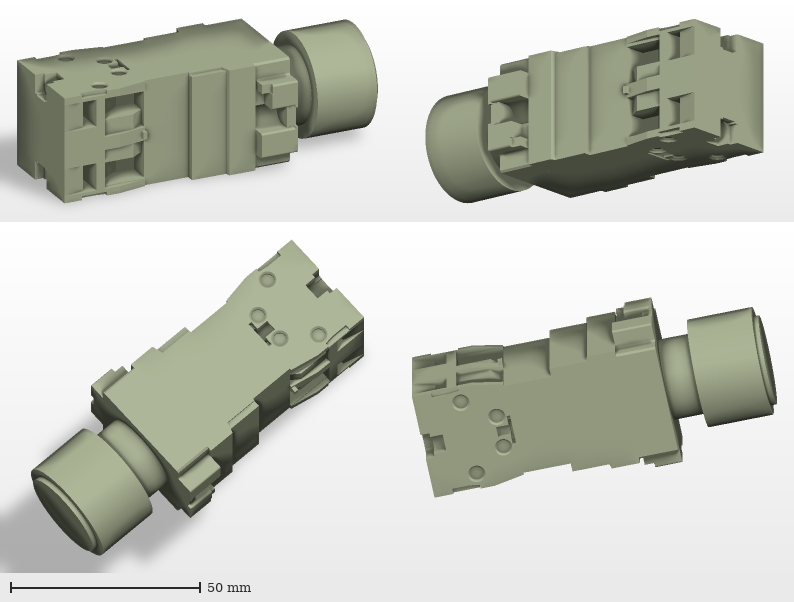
import cadquery as cq

contact_rear = 24.3
stem_rear = 37.2
shoulder_outer = 47.5
shoulder_inner = 46.7
base_rear = 55.15
collar_rear = 65.75
neck_rear = 74.2
bezel_rear = 91.6
button_rear = 93.0

height = 30.0
half_height = height / 2

button_diameter = 24.0
bezel_diameter = 29.0
neck_diameter = 21.6

collar_half_width = half_height
edge_size = 0.6
arm_reach = 20.0
arm_half_height = 10.2
groove_half_height = 3.2
groove_axis_x = 15.7
groove_rear = 63.1
lip_front = 65.0
lip_gap_half_height = 2.7
web_reach = 18.9
lug_front = 55.9
lug_reach = 18.6
lug_inner_z = 7.7
short_arm_front = 58.2
lug_relief = 0.3

base_half_width = 16.1
flange_half_width = 14.8
flange_step_x = 13.0
flange_step_depth = 0.6
stem_half_width = 12.5

contact_half_width = 14.5
frame_inner_x = 13.0
taper_front = 16.2
tab_length = 1.1
tab_height = 1.0
bay_front = 11.9
bay_floor_z = 1.9
bay_shelf_z = 6.1
bay_ceiling_z = 12.2
floor_recess_z = 12.7
window_top_z = 13.0
shelf_corner_y = 20.8
bay_corner_y = 19.0
bay_slope = 0.7
bay_wall_front_x = 11.2
bay_inner_x = bay_wall_front_x - bay_slope * (bay_corner_y - bay_front)
through_front = 6.0
through_rear = 9.4
through_floor_z = 5.2
notch_front = 5.1
notch_rear = 12.5
notch_corner_y = 9.8
notch_rear_x = 13.4
notch_depth = 1.1
dimple_places = [(-10.2, 12.3), (10.2, 12.3), (-4.4, 20.7), (4.4, 20.7)]
dimple_mouth_radius = 2.3
dimple_floor_radius = 1.9
dimple_cone_depth = 0.6
dimple_depth = 1.0
screw_z = 12.6
screw_radius = 1.6
head_slot_width = 4.9
head_slot_radius = head_slot_width / 2
head_slot_floor_z = 9.4
head_slot_rear = 5.8
mouth_half_width = 3.5
mouth_floor_z = 9.9
mouth_rear = 2.4
screw_slot_front = 20.0
rear_pocket_front = 23.3
rear_pocket_half_width = 4.1
rear_pocket_depth = 1.8


def box(x_range, y_range, z_range):
    """Box between the given pairs of limits."""
    sizes = [high - low for low, high in (x_range, y_range, z_range)]
    return cq.Workplane("XY").box(*sizes, centered=False).translate((x_range[0], y_range[0], z_range[0]))


def section_prism(points, y_front, y_rear):
    """Prism along Y with an outline of (x, z) points."""
    return cq.Workplane("XZ", origin=(0, y_front, 0)).polyline(points).close().extrude(y_front - y_rear)


def plan_prism(points, z_low, z_high):
    """Upright prism with an outline of (x, y) points."""
    return cq.Workplane("XY", origin=(0, 0, z_low)).polyline(points).close().extrude(z_high - z_low)


def cylinder(radius, y_front, y_rear, x=0, z=0):
    """Cylinder along Y."""
    return cq.Workplane("XZ", origin=(x, y_front, z)).circle(radius).extrude(y_front - y_rear)


def mirrored_x(points):
    """Outline completed by its mirror image across X = 0."""
    return points + [(-x, other) for x, other in reversed(points)]


def make_button_head():
    """Stepped round head: neck, bezel and button face."""
    neck = cylinder(neck_diameter / 2, collar_rear, neck_rear)
    bezel = cylinder(bezel_diameter / 2, neck_rear, bezel_rear)
    return neck.union(bezel).union(cylinder(button_diameter / 2, bezel_rear, button_rear))


def make_root_fillet(side):
    """Concave strip where the upper (side 1) or lower (side -1) arm meets the collar block."""
    root_z = side * arm_half_height
    corner = (-collar_half_width - edge_size, side * (arm_half_height + edge_size))
    strip = section_prism(
        [(0, root_z), (corner[0], root_z), corner, (0, corner[1])], base_rear, collar_rear
    )
    return strip.cut(cylinder(edge_size, base_rear, collar_rear, *corner))


def make_collar_arms():
    """Pair of arms on the -X side, joined by a web and separated by a round-bottomed groove."""
    span = (-arm_half_height, arm_half_height)
    arms = box((-arm_reach, 0), (base_rear, collar_rear), span).edges("|Y and <X").fillet(edge_size)
    for side in (-1, 1):
        arms = arms.union(make_root_fillet(side))
    below = (-half_height, 0)
    outside = (-arm_reach, -collar_half_width)
    arms = arms.cut(box(outside, (base_rear, lug_front), below))
    arms = arms.cut(box(outside, (base_rear, short_arm_front), (-lug_inner_z, 0)))
    return arms.cut(
        box((-arm_reach, -lug_reach), (base_rear, short_arm_front + lug_relief), (-half_height, -lug_inner_z))
    )


def make_groove_cutter():
    """Space between the two arms of the -X side, with the web left standing at the rear."""
    gap = (-groove_half_height, groove_half_height)
    lip_gap = (-lip_gap_half_height, lip_gap_half_height)
    cutter = box((-arm_reach, -groove_axis_x), (base_rear, groove_rear), gap)
    cutter = cutter.union(cylinder(groove_half_height, base_rear, groove_rear, x=-groove_axis_x))
    cutter = cutter.union(box((-arm_reach, -web_reach), (lip_front, collar_rear), lip_gap))
    flare_x = -arm_reach + edge_size
    flare_half_height = groove_half_height + edge_size
    flare = box((-arm_reach, flare_x), (base_rear, lip_front), (-flare_half_height, flare_half_height))
    for side in (-1, 1):
        flare = flare.cut(cylinder(edge_size, base_rear, lip_front, flare_x, side * flare_half_height))
    slot = box((-arm_reach, -web_reach), (base_rear, lip_front), gap)
    return cutter.union(slot).union(flare)


def make_collar():
    """Square block whose two sides are alike under a half turn about Y."""
    square = (-collar_half_width, collar_half_width)
    collar = box(square, (base_rear, collar_rear), (-half_height, half_height))
    collar = collar.edges("|Y").chamfer(edge_size)
    arms = make_collar_arms()
    groove = make_groove_cutter()
    for turn in (0, 180):
        collar = collar.union(arms.rotate((0, 0, 0), (0, 1, 0), turn))
    for turn in (0, 180):
        collar = collar.cut(groove.rotate((0, 0, 0), (0, 1, 0), turn))
    return collar


def make_base():
    """Wide head and narrower waist, which is flanged along its top edges."""
    slope = (shoulder_outer - shoulder_inner) / (base_half_width - flange_step_x)
    flange_rear = shoulder_inner + slope * (flange_half_width - flange_step_x)
    outline = mirrored_x([
        (flange_half_width, stem_rear),
        (flange_half_width, flange_rear),
        (base_half_width, shoulder_outer),
        (base_half_width, base_rear),
    ])
    base = plan_prism(outline, -half_height, half_height)
    for side in (-1, 1):
        step = [
            (side * flange_step_x, stem_rear),
            (side * flange_half_width, stem_rear),
            (side * flange_half_width, flange_rear),
            (side * flange_step_x, shoulder_inner),
        ]
        base = base.cut(plan_prism(step, half_height - flange_step_depth, half_height))
    return base


def make_stem():
    """Plain rectangular stem between the base and the contact blocks."""
    width_range = (-stem_half_width, stem_half_width)
    return box(width_range, (contact_rear, stem_rear), (-half_height, half_height))


def make_terminal_bay(side):
    """Stepped bay in one side wall, open to the rear, with a slanted face on each level."""
    shelf_inner_x = frame_inner_x - bay_slope * (contact_rear - shelf_corner_y)
    lower_level = [
        (side * frame_inner_x, shelf_corner_y),
        (side * frame_inner_x, contact_rear),
        (side * shelf_inner_x, contact_rear),
    ]
    upper_level = [
        (side * frame_inner_x, bay_front),
        (side * frame_inner_x, contact_rear),
        (side * bay_inner_x, contact_rear),
        (side * bay_inner_x, bay_corner_y),
        (side * bay_wall_front_x, bay_front),
    ]
    opening = sorted((side * frame_inner_x, side * contact_half_width))
    bay = box(opening, (bay_front, contact_rear), (bay_floor_z, window_top_z))
    bay = bay.union(plan_prism(lower_level, bay_floor_z, bay_shelf_z))
    return bay.union(plan_prism(upper_level, bay_shelf_z, bay_ceiling_z))


def make_through_window():
    """Window through both side walls whose front faces slope out to the front corners."""
    outline = mirrored_x([
        (frame_inner_x, through_front),
        (contact_half_width, 0),
        (contact_half_width, through_rear),
    ])
    return plan_prism(outline, through_floor_z, window_top_z)


def make_edge_notch(side):
    """Shallow notch along the top edge of one side wall."""
    points = [
        (contact_half_width, notch_front),
        (frame_inner_x, notch_front),
        (frame_inner_x, notch_corner_y),
        (notch_rear_x, notch_rear),
        (contact_half_width, notch_rear),
    ]
    return plan_prism([(side * x, y) for x, y in points], half_height - notch_depth, half_height)


def make_dimple(x, y):
    """Blind hole in the top face with a conical mouth."""
    profile = [
        (0, half_height),
        (dimple_mouth_radius, half_height),
        (dimple_floor_radius, half_height - dimple_cone_depth),
        (dimple_floor_radius, half_height - dimple_depth),
        (0, half_height - dimple_depth),
    ]
    return cq.Workplane("XZ").polyline(profile).close().revolve(360, (0, 0), (0, 1)).translate((x, y, 0))


def make_open_slot(radius, axis_z, y_front, y_rear):
    """Round-bottomed slot along Y, open to the top."""
    slot = cylinder(radius, y_front, y_rear, z=axis_z)
    return slot.union(box((-radius, radius), (y_front, y_rear), (axis_z, half_height)))


def make_screw_channel():
    """Screw bore with its head slot at the front and its open pockets at both ends."""
    head_axis_z = head_slot_floor_z + head_slot_radius
    mouth = (-mouth_half_width, mouth_half_width)
    mouth_centre = (-head_slot_radius, head_slot_radius)
    rear_pocket = (-rear_pocket_half_width, rear_pocket_half_width)
    rear_range = (rear_pocket_front, contact_rear)
    channel = cylinder(screw_radius, 0, contact_rear, z=screw_z)
    channel = channel.union(make_open_slot(head_slot_radius, head_axis_z, 0, head_slot_rear))
    channel = channel.union(box(mouth, (0, mouth_rear), (mouth_floor_z, half_height)))
    channel = channel.union(box(mouth_centre, (0, mouth_rear), (head_slot_floor_z, half_height)))
    channel = channel.union(make_open_slot(screw_radius, screw_z, screw_slot_front, contact_rear))
    channel = channel.union(make_open_slot(head_slot_radius, head_axis_z, *rear_range))
    return channel.union(box(rear_pocket, rear_range, (half_height - rear_pocket_depth, half_height)))


def make_upper_contact_block():
    """Contact block, resting on the plane Z = 0."""
    outline = mirrored_x([
        (contact_half_width, 0),
        (contact_half_width, taper_front),
        (frame_inner_x, contact_rear),
    ])
    block = plan_prism(outline, 0, half_height)
    tab_span = (-contact_half_width, contact_half_width)
    block = block.union(box(tab_span, (contact_rear - tab_length, contact_rear), (0, tab_height)))
    for side in (-1, 1):
        block = block.cut(make_terminal_bay(side))
        block = block.cut(make_edge_notch(side))
    block = block.cut(make_through_window())
    for x, y in dimple_places:
        block = block.cut(make_dimple(x, y))
    return block.cut(make_screw_channel())


def make_lower_contact_block(upper_block):
    """Mirror image of the upper block, with the floors of its terminal bays sunk a little deeper."""
    block = upper_block.mirror("XY")
    for side in (-1, 1):
        floor = sorted((side * bay_inner_x, side * frame_inner_x))
        block = block.cut(box(floor, (bay_front, contact_rear), (-floor_recess_z, -bay_ceiling_z)))
    return block


button_head = make_button_head()
collar = make_collar()
base = make_base()
stem = make_stem()
upper_block = make_upper_contact_block()
lower_block = make_lower_contact_block(upper_block)

result = cq.Compound.makeCompound([
    *button_head.vals(),
    *collar.vals(),
    *base.vals(),
    *stem.vals(),
    *upper_block.vals(),
    *lower_block.vals(),
])